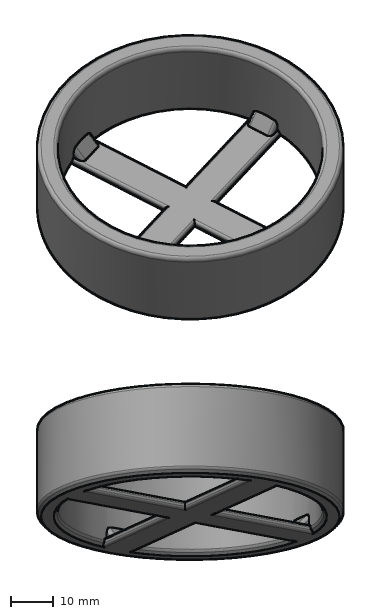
import cadquery as cq

outer_diameter = 72.5
inner_diameter = 62.5
height = 22.0
rim_fillet = 1.0
foot_chamfer = 1.0
foot_blend_radius = 1.0

spoke_count = 4
spoke_width = 8.5
spoke_thickness = 2.0
spoke_fillet = 0.7

wedge_toe_radius = 28.25
wedge_rise = 3.0
wedge_fillet = 1.0

inner_radius = inner_diameter / 2
mid_wall_radius = (outer_diameter + inner_diameter) / 4
wedge_width = spoke_width - 2 * spoke_fillet
spoke_angle = 360 / spoke_count
wedge_run = inner_radius - wedge_toe_radius


def make_ring():
    """Ring with a rounded rim and a chamfered foot, each chamfer blended into its wall."""
    ring = cq.Workplane("XY").circle(outer_diameter / 2).circle(inner_radius).extrude(height)
    ring = ring.faces(">Z").edges().fillet(rim_fillet)
    ring = ring.faces("<Z").edges().chamfer(foot_chamfer)
    chamfer_top_band = cq.selectors.BoxSelector(
        (-outer_diameter, -outer_diameter, foot_chamfer / 2),
        (outer_diameter, outer_diameter, foot_chamfer * 3 / 2),
    )
    return ring.edges("%CIRCLE").edges(chamfer_top_band).fillet(foot_blend_radius)


def make_cross():
    """Two crossing bars with rounded long edges, ending inside the ring wall."""
    length = 2 * mid_wall_radius
    bar_x = cq.Workplane("XY").box(length, spoke_width, spoke_thickness, centered=(True, True, False))
    bar_x = bar_x.edges("|X").fillet(spoke_fillet)
    return bar_x.union(bar_x.rotate((0, 0, 0), (0, 0, 1), spoke_angle))


def make_wedge():
    """Ramp on the +X spoke that climbs outward to the wall, with rounded sloping edges."""
    slope = wedge_rise / wedge_run
    heel_rise = slope * (mid_wall_radius - wedge_toe_radius)
    profile = [
        (wedge_toe_radius, spoke_thickness),
        (mid_wall_radius, spoke_thickness),
        (mid_wall_radius, spoke_thickness + heel_rise),
    ]
    ramp = cq.Workplane("XZ").polyline(profile).close().extrude(wedge_width / 2, both=True)
    return ramp.edges("not(|X or |Y or |Z)").fillet(wedge_fillet)


wedge = make_wedge()
result = make_ring().union(make_cross())
for spoke in range(spoke_count):
    result = result.union(wedge.rotate((0, 0, 0), (0, 0, 1), spoke_angle * spoke))